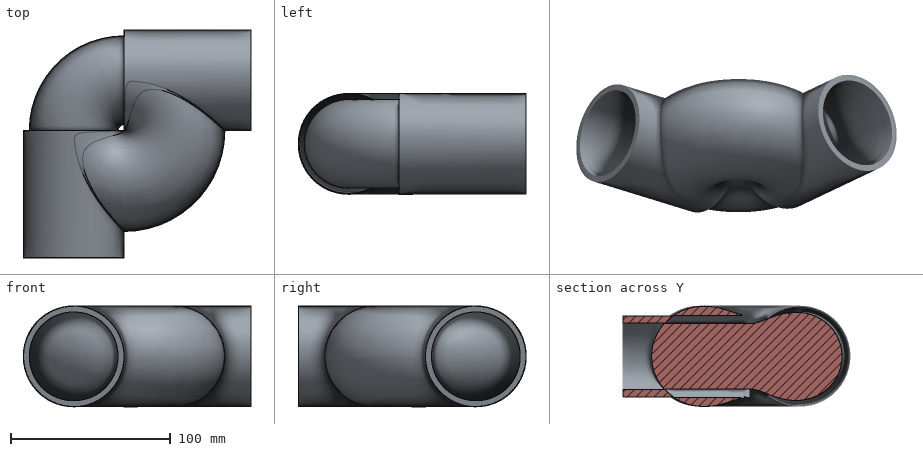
import cadquery as cq

outer_diameter = 63.0
wall = 3.75
pipe_length = 79.5
skin = 0.5

outer_radius = outer_diameter / 2
bore_radius = outer_radius - wall
bend_radius = outer_radius
axis_clearance = 0.005
ring_radius = outer_radius - axis_clearance
elbow_angle = 90
full_turn = 360
ring_angle = full_turn - elbow_angle
elbow_start = 90
ring_start = elbow_start + elbow_angle


def ring_segment(tube_radius, start_angle, sweep_angle):
    """Solid round bar bent about Z, starting at start_angle from +X, counter-clockwise."""
    section = cq.Workplane("XZ").center(bend_radius, 0).circle(tube_radius)
    bar = section.revolve(sweep_angle, (-bend_radius, 0), (-bend_radius, 1))
    return bar.rotate((0, 0, 0), (0, 0, 1), start_angle)


def pipe_along_x():
    """Straight pipe that starts at the ring's +Y end and runs along +X."""
    section = cq.Workplane("YZ").center(bend_radius, 0)
    return section.circle(outer_radius).circle(bore_radius).extrude(pipe_length)


def other_arm(shape):
    """Copy of an arm feature on the second arm, mirrored about the plane y = -x."""
    return shape.mirror("XZ").rotate((0, 0, 0), (0, 0, 1), -elbow_angle)


elbow = ring_segment(bore_radius, elbow_start, elbow_angle)
ring = ring_segment(ring_radius, ring_start, ring_angle)

pipe = pipe_along_x()
hollow = pipe.intersect(ring_segment(ring_radius - skin, ring_start, full_turn))

result = ring.union(pipe).union(other_arm(pipe)).union(elbow)
result = result.cut(hollow).cut(other_arm(hollow))